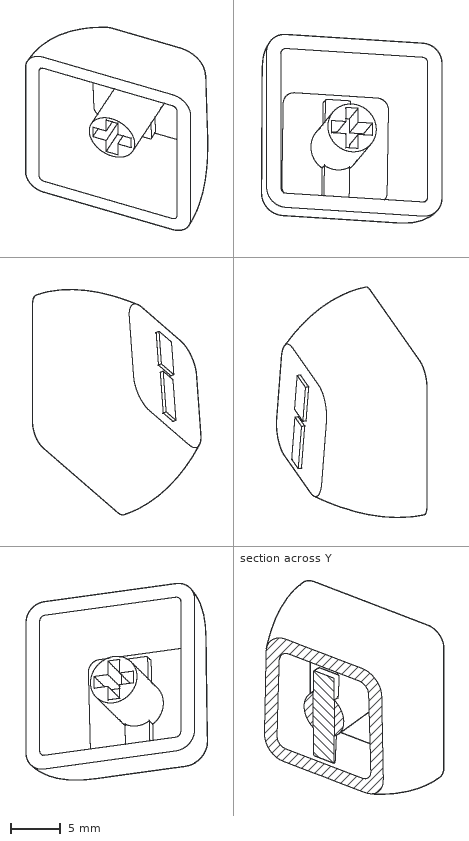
import cadquery as cq
import math


BASE_SIDE = 18.1
BASE_CORNER = 2.0
TOP_SIDE = 12.72
TOP_CORNER = 2.66
TOP_HEIGHT = 10.06
TOP_TILT = 4.0

MOUTH_SIDE = 15.13
MOUTH_CORNER = 0.55
FLOOR_SIDE = 10.86
FLOOR_CORNER = 1.18
TOP_WALL = 1.5
FLOOR_HEIGHT = TOP_HEIGHT - TOP_WALL

SECTIONS = 5

STEM_DIAMETER = 5.0
STEM_RECESS = 1.0
CROSS_LENGTH = 4.2
CROSS_WIDTH = 1.27
CROSS_DEPTH = 3.98

BAR_WIDTH = 2.6
BAR_TOP = 4.75
BAR_BOTTOM = -5.35
BAR_THICKNESS = 1.0
BAR_CORNER = 0.18
PAD_HEIGHT = 0.35
UPPER_PAD_WIDTH = 2.35
UPPER_PAD_TOP = 4.56
UPPER_PAD_BOTTOM = 0.55
LOWER_PAD_WIDTH = 1.85
LOWER_PAD_TOP = -0.22
LOWER_PAD_BOTTOM = -5.21


def tilted_plane(height, tilt):
    """Plane across the cap axis at the given height, leaning by tilt degrees; local x is -X."""
    lean = math.radians(tilt)
    return cq.Plane(
        origin=(0, height, 0),
        xDir=(-1, 0, 0),
        normal=(0, math.cos(lean), math.sin(lean)),
    )


def curved_pyramid(base_side, base_corner, end_side, end_corner, height):
    """Solid that leaves Y = 0 squarely and narrows along a parabola to a tilted end face."""
    wires = []
    for i in range(SECTIONS):
        rise = i / (SECTIONS - 1)
        narrowing = rise**2
        side = base_side + (end_side - base_side) * narrowing
        corner = base_corner + (end_corner - base_corner) * narrowing
        outline = cq.Sketch().rect(side, side).vertices().fillet(corner)
        tilt = TOP_TILT * rise * end_side / side
        section_plane = tilted_plane(height * rise, tilt)
        wires.append(outline.reset().faces().val().outerWire().moved(section_plane.location))
    return cq.Workplane(cq.Solid.makeLoft(wires))


def tilted_block(plane, width, bottom, top, thickness):
    """Block standing on a tilted plane, from bottom to top up the plane."""
    return (
        cq.Workplane(plane)
        .center(0, (top + bottom) / 2)
        .rect(width, top - bottom)
        .extrude(thickness)
    )


def make_legend():
    """Backing bar and both raised pads, as one insert."""
    floor_plane = tilted_plane(FLOOR_HEIGHT, TOP_TILT)
    bar = tilted_block(floor_plane, BAR_WIDTH, BAR_BOTTOM, BAR_TOP, -BAR_THICKNESS)
    bar = bar.edges(cq.selectors.ParallelDirSelector(floor_plane.zDir)).fillet(BAR_CORNER)
    pad_length = TOP_WALL * math.cos(math.radians(TOP_TILT)) + PAD_HEIGHT
    upper_pad = tilted_block(
        floor_plane, UPPER_PAD_WIDTH, UPPER_PAD_BOTTOM, UPPER_PAD_TOP, pad_length
    )
    lower_pad = tilted_block(
        floor_plane, LOWER_PAD_WIDTH, LOWER_PAD_BOTTOM, LOWER_PAD_TOP, pad_length
    )
    return bar.union(upper_pad).union(lower_pad)


def make_stem():
    """Round post from its recessed end into the top wall, with a cross-shaped socket."""
    end_plane = cq.Workplane("XZ", origin=(0, STEM_RECESS, 0))
    post_length = FLOOR_HEIGHT + TOP_WALL / 2 - STEM_RECESS
    post = end_plane.circle(STEM_DIAMETER / 2).extrude(-post_length)
    flat_arm = end_plane.rect(CROSS_LENGTH, CROSS_WIDTH).extrude(-CROSS_DEPTH)
    upright_arm = end_plane.rect(CROSS_WIDTH, CROSS_LENGTH).extrude(-CROSS_DEPTH)
    return post.cut(flat_arm).cut(upright_arm)


def make_cap(legend):
    """Hollow cap with its stem, recessed to hold the legend insert."""
    skin = curved_pyramid(BASE_SIDE, BASE_CORNER, TOP_SIDE, TOP_CORNER, TOP_HEIGHT)
    cavity = curved_pyramid(MOUTH_SIDE, MOUTH_CORNER, FLOOR_SIDE, FLOOR_CORNER, FLOOR_HEIGHT)
    return skin.cut(cavity).union(make_stem()).cut(legend)


legend = make_legend()
cap = make_cap(legend)

result = cq.Compound.makeCompound([cap.solids().val(), legend.solids().val()])